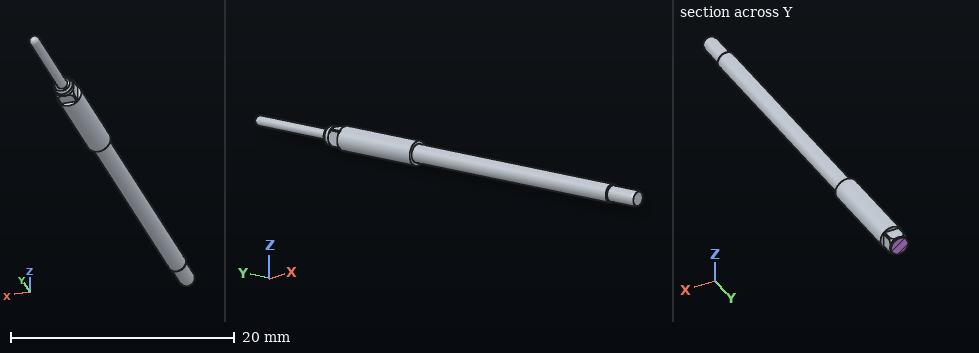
import cadquery as cq
import math

LENGTH = 44.3
SLEEVE_DIAMETER = 2.3

TAIL_DIAMETER = 1.5
BARREL_DIAMETER = 1.73
COLLAR_DIAMETER = 1.75
NEEDLE_DIAMETER = 0.97

TAIL_LENGTH = 2.95
BARREL_LENGTH = 22.6
SLEEVE_LENGTH = 8.4
SQUARE_LENGTH = 1.3
COLLAR_LENGTH = 0.65

SQUARE_WIDTH = 1.65
SQUARE_CORNER_DIAMETER = 2.15

TAIL_CHAMFER_LENGTH = 0.3
TAIL_CHAMFER_DEPTH = 0.1
BARREL_CHAMFER = 0.1
COLLAR_CHAMFER_LENGTH = 0.25
COLLAR_CHAMFER_DEPTH = 0.18
SQUARE_TAPER_LENGTH = 0.25

tail_end = -LENGTH / 2
barrel_start = tail_end + TAIL_LENGTH
sleeve_start = barrel_start + BARREL_LENGTH
square_start = sleeve_start + SLEEVE_LENGTH
collar_start = square_start + SQUARE_LENGTH
needle_start = collar_start + COLLAR_LENGTH
needle_tip = LENGTH / 2


def make_turned_body():
    """Revolve the stepped half profile, drawn as (radius, y), about the Y axis.

    The needle ends in a hemisphere.
    """
    tail_radius = TAIL_DIAMETER / 2
    barrel_radius = BARREL_DIAMETER / 2
    sleeve_radius = SLEEVE_DIAMETER / 2
    shank_radius = SQUARE_CORNER_DIAMETER / 2
    collar_radius = COLLAR_DIAMETER / 2
    needle_radius = NEEDLE_DIAMETER / 2
    dome_centre = needle_tip - needle_radius
    profile = [
        (0, tail_end),
        (tail_radius - TAIL_CHAMFER_DEPTH, tail_end),
        (tail_radius, tail_end + TAIL_CHAMFER_LENGTH),
        (tail_radius, barrel_start),
        (barrel_radius - BARREL_CHAMFER, barrel_start),
        (barrel_radius, barrel_start + BARREL_CHAMFER),
        (barrel_radius, sleeve_start),
        (sleeve_radius, sleeve_start),
        (sleeve_radius, square_start),
        (shank_radius, square_start),
        (shank_radius, collar_start - SQUARE_TAPER_LENGTH),
        (collar_radius, collar_start),
        (collar_radius, needle_start - COLLAR_CHAMFER_LENGTH),
        (collar_radius - COLLAR_CHAMFER_DEPTH, needle_start),
        (needle_radius, needle_start),
        (needle_radius, dome_centre),
    ]
    dome_angle = math.radians(45)
    dome_middle = (
        needle_radius * math.cos(dome_angle),
        dome_centre + needle_radius * math.sin(dome_angle),
    )
    return (
        cq.Workplane("XY")
        .polyline(profile)
        .threePointArc(dome_middle, (0, needle_tip))
        .close()
        .revolve(360, (0, 0), (0, 1))
    )


def make_flat_cutter():
    """Square ring that cuts the four flats of the shank."""
    return (
        cq.Workplane("XZ", origin=(0, square_start, 0))
        .rect(SLEEVE_DIAMETER, SLEEVE_DIAMETER)
        .rect(SQUARE_WIDTH, SQUARE_WIDTH)
        .extrude(-SQUARE_LENGTH)
    )


result = make_turned_body().cut(make_flat_cutter())